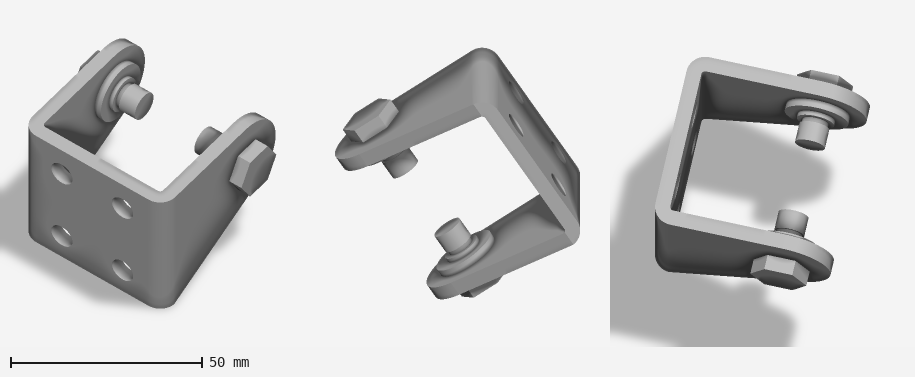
import cadquery as cq
import math

overall_width = 56.0
bracket_depth = 48.0
bracket_height = 41.0

head_length = 4.0
head_across_flats = 13.0
head_gap = 0.5
collar_projection = 1.2
neck_length = 1.35
bolt_length = 18.2
shank_diameter = 10.0
neck_diameter = 7.0
tip_diameter = 8.0

bracket_width = overall_width - 2 * (head_length + head_gap)
wall = 4.0
outer_bend_radius = 5.0
inner_bend_radius = outer_bend_radius - wall
arm_radius = 13.0
pivot_y = bracket_depth - arm_radius
pivot_z = bracket_height - arm_radius
lower_edge_start_y = 4.4

boss_diameter = 17.0
boss_length = 2.0

mount_hole_diameter = 7.0
mount_hole_spacing_x = 20.0
mount_hole_spacing_z = 24.0
lower_mount_hole_z = 8.0

shank_length = head_gap + wall + boss_length + collar_projection
tip_length = bolt_length - head_length - shank_length - neck_length


def cylinder_x(start_x, length, diameter):
    """Cylinder on the pivot axis, running toward +X from start_x."""
    return (
        cq.Workplane("YZ", origin=(start_x, pivot_y, pivot_z))
        .circle(diameter / 2)
        .extrude(length)
    )


def make_channel():
    """U-shaped channel with rounded bends, open toward +Y."""
    outer = (
        cq.Workplane("XY")
        .rect(bracket_width, 2 * bracket_depth)
        .extrude(bracket_height)
        .translate((0, bracket_depth, 0))
        .edges("|Z and <Y")
        .fillet(outer_bend_radius)
    )
    inner = (
        cq.Workplane("XY")
        .rect(bracket_width - 2 * wall, 2 * bracket_depth)
        .extrude(bracket_height)
        .translate((0, bracket_depth + wall, 0))
        .edges("|Z and <Y")
        .fillet(inner_bend_radius)
    )
    return outer.cut(inner)


def make_side_profile():
    """Arm outline: round end, level top and lower edge tangent to the round end."""
    run = pivot_y - lower_edge_start_y
    center_angle = math.atan2(pivot_z, run)
    edge_angle = center_angle - math.asin(arm_radius / math.hypot(run, pivot_z))
    tangent_y = pivot_y + arm_radius * math.sin(edge_angle)
    tangent_z = pivot_z - arm_radius * math.cos(edge_angle)
    return (
        cq.Workplane("YZ")
        .moveTo(0, 0)
        .lineTo(lower_edge_start_y, 0)
        .lineTo(tangent_y, tangent_z)
        .threePointArc((bracket_depth, pivot_z), (pivot_y, bracket_height))
        .lineTo(0, bracket_height)
        .close()
        .extrude(bracket_width / 2, both=True)
    )


def make_bracket():
    """Channel with trimmed arms, bosses, bolt bores and mounting holes."""
    body = make_channel().intersect(make_side_profile())

    inner_face_x = bracket_width / 2 - wall
    for boss_start_x in (-inner_face_x, inner_face_x - boss_length):
        body = body.union(cylinder_x(boss_start_x, boss_length, boss_diameter))
    body = body.cut(cylinder_x(-bracket_width / 2, bracket_width, shank_diameter))

    mount_center_z = lower_mount_hole_z + mount_hole_spacing_z / 2
    mount_holes = (
        cq.Workplane("XZ", origin=(0, 0, mount_center_z))
        .rarray(mount_hole_spacing_x, mount_hole_spacing_z, 2, 2)
        .circle(mount_hole_diameter / 2)
        .extrude(-wall)
    )
    return body.cut(mount_holes)


def make_bolt():
    """Hex-headed bolt at the -X arm, pointing toward +X."""
    head_start_x = -overall_width / 2
    shank_start_x = head_start_x + head_length
    neck_start_x = shank_start_x + shank_length
    tip_start_x = neck_start_x + neck_length
    head_across_corners = head_across_flats / math.cos(math.pi / 6)
    head = (
        cq.Workplane("YZ", origin=(head_start_x, pivot_y, pivot_z))
        .polygon(6, head_across_corners)
        .extrude(head_length)
    )
    return (
        head.union(cylinder_x(shank_start_x, shank_length, shank_diameter))
        .union(cylinder_x(neck_start_x, neck_length, neck_diameter))
        .union(cylinder_x(tip_start_x, tip_length, tip_diameter))
    )


bracket = make_bracket()

bolts = []
for turn in (0, 180):
    bolt = make_bolt().rotate((0, pivot_y, 0), (0, pivot_y, 1), turn)
    bolts.append(bolt.val())

result = cq.Compound.makeCompound([bracket.val(), *bolts])